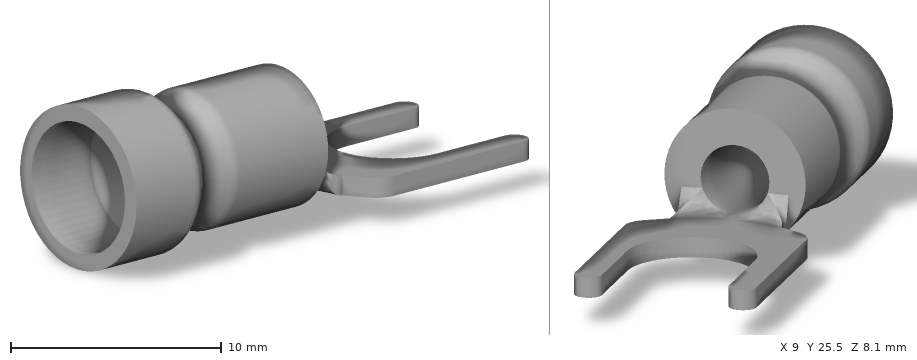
import cadquery as cq
import math


total_length = 25.5
sleeve_length = 13.0

metal_thickness = 1.0
wire_radius = 1.7
barrel_radius = wire_radius + metal_thickness
tongue_top_z = -wire_radius
tongue_bottom_z = -barrel_radius

fork_width = 9.0
slot_width = 6.3
tine_tip_radius = 0.65
slot_bottom_y = 17.3
slot_center_y = slot_bottom_y + slot_width / 2
tongue_root_y = 14.6
tongue_root_width = 5.5
shoulder_angle = math.radians(30)
shoulder_radius = 1.25
pick_margin = 0.1
shoulder_y = tongue_root_y + (fork_width - tongue_root_width) / 2 * math.tan(shoulder_angle)

throat_lip_z = -0.55
throat_steps = 3

sleeve_radius = 3.5
rim_radius = 4.05
neck_radius = 2.9
rim_length = 3.85
rim_slope = math.radians(40)
body_slope = math.radians(30)
sleeve_bend_radius = 0.75
entry_radius = 3.25
funnel_start_y = rim_length


def slope_length(height, angle):
    """Axial length of a slope with an equal, tangent bend at both ends."""
    bend_height = sleeve_bend_radius * (1 - math.cos(angle))
    bend_length = sleeve_bend_radius * math.sin(angle)
    return 2 * bend_length + (height - 2 * bend_height) / math.tan(angle)


neck_y = rim_length + slope_length(rim_radius - neck_radius, rim_slope)
body_start_y = neck_y + slope_length(sleeve_radius - neck_radius, body_slope)
funnel_end_y = neck_y


def add_slope(profile, start, end, angle):
    """Draw bend, straight slope and opposite bend between two (radius, y) points."""
    side = 1 if end[0] > start[0] else -1

    def bend_point(origin, direction, turn):
        rise = sleeve_bend_radius * (1 - math.cos(turn))
        run = sleeve_bend_radius * math.sin(turn)
        return (origin[0] + direction * side * rise, origin[1] + direction * run)

    profile = profile.threePointArc(bend_point(start, 1, angle / 2), bend_point(start, 1, angle))
    profile = profile.lineTo(*bend_point(end, -1, angle))
    return profile.threePointArc(bend_point(end, -1, angle / 2), end)


def make_sleeve():
    """Turned sleeve with a rim, a waist, a funnel entry and a bore that fits the barrel."""
    profile = cq.Workplane("XY").moveTo(entry_radius, 0).lineTo(rim_radius, 0).lineTo(rim_radius, rim_length)
    profile = add_slope(profile, (rim_radius, rim_length), (neck_radius, neck_y), rim_slope)
    profile = add_slope(profile, (neck_radius, neck_y), (sleeve_radius, body_start_y), body_slope)
    profile = (
        profile.lineTo(sleeve_radius, sleeve_length)
        .lineTo(barrel_radius, sleeve_length)
        .lineTo(barrel_radius, funnel_end_y)
        .lineTo(wire_radius, funnel_end_y)
        .lineTo(entry_radius, funnel_start_y)
        .close()
    )
    return profile.revolve(360, (0, 0, 0), (0, 1, 0))


def make_barrel():
    """Tube that fills the sleeve bore."""
    plane = cq.Workplane("XZ", origin=(0, sleeve_length, 0))
    return plane.circle(barrel_radius).circle(wire_radius).extrude(sleeve_length - funnel_end_y)


def make_fork():
    """Flat tongue with two tines, sloped shoulders and a round-bottomed slot."""
    half_root = tongue_root_width / 2
    half_width = fork_width / 2
    plane = cq.Workplane("XY", origin=(0, 0, tongue_bottom_z))
    blank = (
        plane.moveTo(-half_root, tongue_root_y)
        .lineTo(half_root, tongue_root_y)
        .lineTo(half_width, shoulder_y)
        .lineTo(half_width, total_length)
        .lineTo(-half_width, total_length)
        .lineTo(-half_width, shoulder_y)
        .close()
        .extrude(metal_thickness)
    )
    shoulder_edges = cq.selectors.BoxSelector(
        (-fork_width, shoulder_y - pick_margin, -fork_width),
        (fork_width, shoulder_y + pick_margin, fork_width),
    )
    blank = blank.edges("|Z").edges(shoulder_edges).fillet(shoulder_radius)
    slot = (
        plane.moveTo(-slot_width / 2, total_length)
        .lineTo(-slot_width / 2, slot_center_y)
        .threePointArc((0, slot_bottom_y), (slot_width / 2, slot_center_y))
        .lineTo(slot_width / 2, total_length)
        .close()
        .extrude(metal_thickness)
    )
    return blank.cut(slot).faces(">Y").edges("|Z").fillet(tine_tip_radius)


def throat_section(progress):
    """Cross-section of the throat, from a flat bar (progress 0) to a trough (progress 1)."""
    curl = progress ** 2
    half_root = tongue_root_width / 2

    def blend(flat, round_value):
        return flat + (round_value - flat) * curl

    outer_x = blend(half_root, math.sqrt(barrel_radius ** 2 - throat_lip_z ** 2))
    inner_x = blend(half_root, math.sqrt(wire_radius ** 2 - throat_lip_z ** 2))
    outer_z = blend(tongue_bottom_z, throat_lip_z)
    inner_z = blend(tongue_top_z, throat_lip_z)
    y = tongue_root_y + (sleeve_length - tongue_root_y) * progress
    corners = [
        cq.Vector(-outer_x, y, outer_z),
        cq.Vector(outer_x, y, outer_z),
        cq.Vector(inner_x, y, inner_z),
        cq.Vector(-inner_x, y, inner_z),
    ]

    def curve(start, end, middle_z):
        if curl == 0:
            return cq.Edge.makeLine(start, end)
        return cq.Edge.makeThreePointArc(start, cq.Vector(0, y, middle_z), end)

    return cq.Wire.assembleEdges([
        curve(corners[0], corners[1], tongue_bottom_z),
        cq.Edge.makeLine(corners[1], corners[2]),
        curve(corners[2], corners[3], tongue_top_z),
        cq.Edge.makeLine(corners[3], corners[0]),
    ])


def make_throat():
    """Trough that joins the tongue to the lower part of the barrel."""
    sections = [throat_section(step / throat_steps) for step in range(throat_steps + 1)]
    return cq.Workplane(cq.Solid.makeLoft(sections))


sleeve = make_sleeve()

terminal = make_barrel().union(make_throat()).union(make_fork())

result = cq.Compound.makeCompound([sleeve.val(), *terminal.solids().vals()])